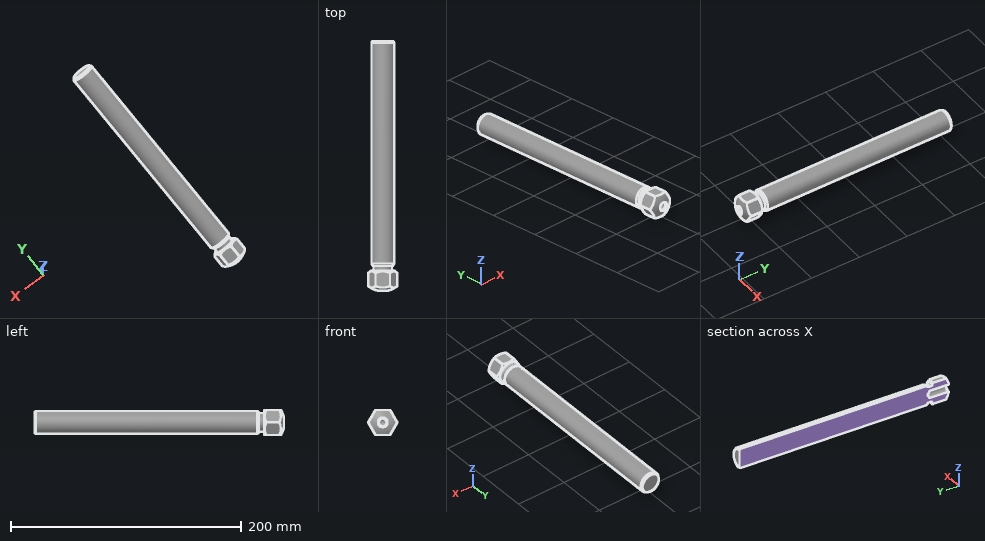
import cadquery as cq
import math

total_length = 216.98

across_flats = 22.0
corner_diameter = 25.2
head_length = 17.5
dome_radius = 19.5
back_chamfer_radial = 2.3
back_chamfer_length = 2.0

shaft_diameter = 20.0
neck_diameter = 16.5
neck_length = 4.3
neck_fillet = 0.6
tip_chamfer_radial = 1.0
tip_chamfer_length = 1.6
shoulder_chamfer_radial = 1.3
shoulder_chamfer_length = 1.8

hole_diameter = 6.6
countersink_diameter = 8.4
hole_depth = 20.0
drill_point_angle = 118.0

shaft_radius = shaft_diameter / 2
neck_radius = neck_diameter / 2
corner_radius = corner_diameter / 2
hole_radius = hole_diameter / 2
countersink_radius = countersink_diameter / 2


def dome_drop(radius):
    """Axial distance from the dome's apex back to the given radius."""
    return dome_radius - math.sqrt(dome_radius**2 - radius**2)


dome_apex = -dome_drop(countersink_radius)


def revolve_about_y(profile):
    return profile.close().revolve(360, (0, 0, 0), (0, 1, 0))


def make_head():
    middle_radius = corner_radius / 2
    turned = revolve_about_y(
        cq.Workplane("XY")
        .moveTo(0, dome_apex)
        .threePointArc(
            (middle_radius, dome_apex + dome_drop(middle_radius)),
            (corner_radius, dome_apex + dome_drop(corner_radius)),
        )
        .lineTo(corner_radius, head_length - back_chamfer_length)
        .lineTo(corner_radius - back_chamfer_radial, head_length)
        .lineTo(0, head_length)
    )
    across_corners = across_flats / math.cos(math.pi / 6)
    hexagon = (
        cq.Workplane("XZ", origin=(0, dome_apex, 0))
        .polygon(6, across_corners)
        .extrude(-(head_length - dome_apex))
    )
    return turned.intersect(hexagon)


def make_shaft():
    neck_end = head_length + neck_length
    return revolve_about_y(
        cq.Workplane("XY")
        .moveTo(0, head_length)
        .lineTo(neck_radius + neck_fillet, head_length)
        .radiusArc((neck_radius, head_length + neck_fillet), neck_fillet)
        .lineTo(neck_radius, neck_end)
        .lineTo(shaft_radius - shoulder_chamfer_radial, neck_end)
        .lineTo(shaft_radius, neck_end + shoulder_chamfer_length)
        .lineTo(shaft_radius, total_length - tip_chamfer_length)
        .lineTo(shaft_radius - tip_chamfer_radial, total_length)
        .lineTo(0, total_length)
    )


def make_hole():
    countersink_depth = countersink_radius - hole_radius
    point_depth = hole_radius / math.tan(math.radians(drill_point_angle / 2))
    return revolve_about_y(
        cq.Workplane("XY")
        .moveTo(0, dome_apex)
        .lineTo(countersink_radius, dome_apex)
        .lineTo(countersink_radius, 0)
        .lineTo(hole_radius, countersink_depth)
        .lineTo(hole_radius, hole_depth)
        .lineTo(0, hole_depth + point_depth)
    )


result = make_head().union(make_shaft()).cut(make_hole())